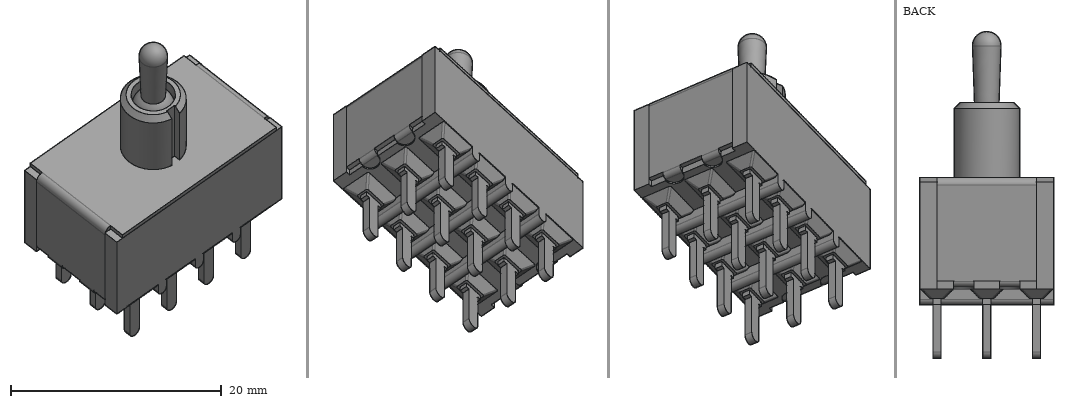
import cadquery as cq
import math


width = 12.7
length = 21.58
height = 31.0

base_bottom = 6.6
cover_top = 17.17
bushing_top = 24.27

sheet = 0.45
bend_radius = 0.75
tab_width = 9.42
tab_bottom = 7.35
hook_width = 1.92
hook_offset = 2.17
hook_bottom = 6.8
hook_bend_radius = 0.5

bushing_radius = 3.13
bushing_chamfer = 0.55
ball_diameter = 4.2
ball_depth = 1.77
keyway_width = 1.02
keyway_floor = 2.4
tip_radius = 1.35
neck_radius = 1.18

column_pitch = 4.7
row_pitch = 4.85
column_count = 3
row_count = 4
terminal_width = 1.27
terminal_thickness = 0.78
shoulder_width = 2.08
shoulder_bottom = 5.1
pad_bottom = 5.67
pad_length = 4.4
pad_width = 3.15
pad_corner_radius = 0.25
rib_thickness = 1.02
rib_bottom = 5.08

half_length = length / 2
base_top = cover_top - sheet
recess_floor = half_length - sheet
ball_radius = ball_diameter / 2
ball_center = bushing_top - ball_depth
tip_center = height - tip_radius


def block(size_x, size_y, bottom, top):
    """Box centred on the Z axis between two levels."""
    return cq.Workplane("XY").workplane(offset=bottom).rect(size_x, size_y).extrude(top - bottom)


def rounded_bar(thickness_x, width_y, bottom, top):
    """Upright bar whose lower end is a half round seen along X."""
    radius = width_y / 2
    return (
        cq.Workplane("YZ")
        .moveTo(-radius, top)
        .lineTo(-radius, bottom + radius)
        .threePointArc((0, bottom), (radius, bottom + radius))
        .lineTo(radius, top)
        .close()
        .extrude(thickness_x / 2, both=True)
    )


def hook_plug(bottom, top):
    """Half-round-ended plug for a hook at the -Y end, reaching inward from the end face."""
    radius = hook_width / 2
    return (
        cq.Workplane("XY")
        .workplane(offset=bottom)
        .moveTo(-radius, -half_length)
        .lineTo(-radius, -recess_floor)
        .threePointArc((0, radius - recess_floor), (radius, -recess_floor))
        .lineTo(radius, -half_length)
        .close()
        .extrude(top - bottom)
    )


def at_hook_places(plug):
    """Copies of a plug at the two hook places of each end."""
    return [
        plug.translate((side * hook_offset, 0, 0)).rotate((0, 0, 0), (0, 0, 1), turn)
        for turn in (0, 180)
        for side in (-1, 1)
    ]


def make_frame():
    """Sheet-metal channel over the top and down both ends, hooked into the base."""
    frame = (
        block(tab_width, length, tab_bottom, cover_top)
        .edges("|X and >Z")
        .fillet(bend_radius)
    )
    inside = (
        block(tab_width, 2 * recess_floor, tab_bottom, base_top)
        .edges("|X and >Z")
        .fillet(bend_radius - sheet)
    )
    plate = block(width, length - 2 * bend_radius, base_top, cover_top)
    frame = frame.cut(inside).union(plate)
    hook = hook_plug(hook_bottom, tab_bottom).edges("|X and <Z and <Y").fillet(hook_bend_radius)
    for placed_hook in at_hook_places(hook):
        frame = frame.union(placed_hook)
    return frame


def make_bushing():
    """Chamfered bushing with a blind ball seat and a keyway on the +X side."""
    bushing = (
        cq.Workplane("XY")
        .workplane(offset=cover_top)
        .circle(bushing_radius)
        .extrude(bushing_top - cover_top)
        .faces(">Z")
        .chamfer(bushing_chamfer)
    )
    seat = cq.Workplane("XY").workplane(offset=ball_center).circle(ball_radius).extrude(ball_depth)
    keyway_depth = bushing_radius - keyway_floor
    keyway = block(keyway_depth, keyway_width, cover_top, bushing_top)
    keyway = keyway.translate((keyway_floor + keyway_depth / 2, 0, 0))
    return bushing.cut(seat).cut(keyway)


def make_lever():
    """Round-tipped tapering lever rising from a ball."""
    neck_level = ball_center + math.sqrt(ball_radius**2 - neck_radius**2)
    tip_middle = tip_radius * math.sqrt(0.5)
    return (
        cq.Workplane("XZ")
        .moveTo(0, ball_center - ball_radius)
        .threePointArc((ball_radius, ball_center), (neck_radius, neck_level))
        .lineTo(tip_radius, tip_center)
        .threePointArc((tip_middle, tip_center + tip_middle), (0, height))
        .close()
        .revolve(360, (0, 0, 0), (0, 1, 0))
    )


def make_cover():
    """Frame, bushing and lever as one body."""
    return make_frame().union(make_bushing()).union(make_lever())


def make_terminal():
    """Terminal blade with its wider shoulder and the tapering pad around its root."""
    blade = rounded_bar(terminal_thickness, terminal_width, 0, base_bottom)
    shoulder = block(terminal_thickness, shoulder_width, shoulder_bottom, base_bottom)
    pad = (
        cq.Workplane("XY")
        .workplane(offset=base_bottom)
        .rect(pad_width, pad_length)
        .extrude(pad_bottom - base_bottom, taper=45)
        .edges("not (|X or |Y)")
        .fillet(pad_corner_radius)
    )
    return blade.union(shoulder).union(pad)


def make_base(cover):
    """Base block with end recesses for the cover, ribs and terminals underneath."""
    base = block(width, length, base_bottom, base_top)
    for end in (-1, 1):
        recess = block(tab_width, sheet, base_bottom, base_top)
        base = base.cut(recess.translate((0, end * (half_length - sheet / 2), 0)))
    for notch in at_hook_places(hook_plug(base_bottom, tab_bottom)):
        base = base.cut(notch)
    base = base.cut(cover)

    for row in range(row_count - 1):
        rib = rounded_bar(width, rib_thickness, rib_bottom, base_bottom)
        base = base.union(rib.translate((0, (row - (row_count - 2) / 2) * row_pitch, 0)))

    terminal = make_terminal()
    for column in range(column_count):
        for row in range(row_count):
            x = (column - (column_count - 1) / 2) * column_pitch
            y = (row - (row_count - 1) / 2) * row_pitch
            base = base.union(terminal.translate((x, y, 0)))
    return base


cover = make_cover()
base = make_base(cover)

result = cq.Compound.makeCompound([base.solids().val(), cover.solids().val()])